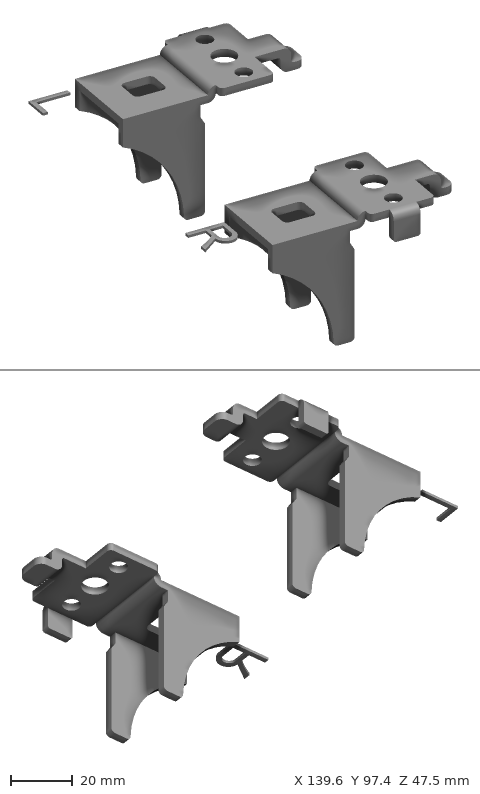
import cadquery as cq
import math


overall_width = 139.6
sheet = 3.0

upper_width = 37.1
hook_side_shoulder_y = 12.1
plain_side_shoulder_y = 8.1
upper_front_y = -hook_side_shoulder_y
upper_corner_radius = 1.5
center_hole_diameter = 9.1
side_hole_diameter = 6.1
side_hole_spacing = 25.1

hook_length = 10.0
hook_drop = 10.9
hook_corner_radius = 1.0

tab_width = 11.3
tab_end_y = 27.0
tab_drop = 6.0
tab_wall_y = 17.7
tab_inner_radius = 1.0
tab_wall = 4.0
tab_end_radius = 3.0

lower_width = 31.0
lower_back_y = upper_front_y - sheet
lower_front_y = -46.9
lower_bottom_z = -2 * sheet
window_width = 10.3
window_length = 12.1
window_center_y = -30.2
window_corner_radius = 2.0

leg_bottom_z = -47.0
leg_back_y = -16.2
leg_neck_y = -17.9
leg_neck_bottom_z = -10.3
leg_shoulder_z = -13.1
leg_front_bottom_z = -13.4
leg_foot_front_y = -24.0
leg_arc_mid_y = -30.7
leg_arc_mid_z = -25.8
leg_corner_radius = 1.5

letter_thickness = 1.0
letter_bottom_y = -70.4
letter_height = 14.5
stem_width = 1.8
letter_l_x = -53.2
letter_l_width = 9.2
foot_height = 1.8
letter_r_x = 48.0
bowl_height = 8.0
bowl_straight = 7.7
bowl_bar = 1.5
counter_straight = 7.1
r_leg_root_left = 5.7
r_leg_root_right = 8.0
r_leg_foot_left = 10.2
letter_r_width = 12.8
r_leg_bend_x = 8.2
r_leg_bend_y = 3.4

bracket_x = overall_width / 2 - upper_width / 2 - sheet
quarter = math.sqrt(0.5)


def box(x_min, x_max, y_min, y_max, z_min, z_max):
    return cq.Workplane().box(
        x_max - x_min, y_max - y_min, z_max - z_min, centered=False
    ).translate((x_min, y_min, z_min))


def extrude_side_profile(profile, x_min, width):
    """Extrude a closed YZ profile along +X from x_min."""
    return profile.close().extrude(width).translate((x_min, 0, 0))


def make_upper_plate():
    half = upper_width / 2
    plate = box(-half, half, upper_front_y, plain_side_shoulder_y, -sheet, 0)
    raised_shoulder = box(0, half, plain_side_shoulder_y, hook_side_shoulder_y, -sheet, 0)
    plate = plate.union(raised_shoulder)
    outer_corners = plate.edges("|Z").edges("<X or >X")
    return outer_corners.fillet(upper_corner_radius)


def make_hook():
    """Tab folded down from the +X edge, rounded over the outside of the fold."""
    inner_x = upper_width / 2
    hook = box(inner_x, inner_x + sheet, -hook_length / 2, hook_length / 2, -hook_drop, 0)
    hook = hook.edges("|X and <Z").fillet(hook_corner_radius)
    fold = (
        cq.Workplane("XZ", origin=(inner_x, hook_length / 2, -sheet))
        .moveTo(0, sheet)
        .threePointArc((sheet * quarter, sheet * quarter), (sheet, 0))
        .lineTo(sheet, sheet)
        .close()
        .extrude(hook_length)
    )
    return hook.cut(fold)


def make_tab():
    """Tab that runs back, steps down through a wall and ends in a rounded tip."""
    wall_back_y = tab_wall_y + tab_wall
    tip_bottom_z = -tab_drop - sheet
    half = tab_width / 2
    run = box(-half, half, 0, wall_back_y, -sheet, 0)
    wall = box(-half, half, tab_wall_y, wall_back_y, tip_bottom_z, 0)
    tip = box(-half, half, tab_wall_y, tab_end_y, tip_bottom_z, -tab_drop)
    tip = tip.edges("|Z and >Y").fillet(tab_end_radius)
    tab = run.union(wall).union(tip)

    def bend_edge(y, z):
        return cq.selectors.NearestToPointSelector((0, y, z))

    tab = tab.edges("|X").edges(bend_edge(wall_back_y, 0)).fillet(sheet)
    tab = tab.edges("|X").edges(bend_edge(tab_wall_y, tip_bottom_z)).fillet(sheet)
    tab = tab.edges("|X").edges(bend_edge(wall_back_y, -tab_drop)).fillet(tab_inner_radius)
    return tab.edges("|X").edges(bend_edge(tab_wall_y, -sheet)).fillet(tab_inner_radius)


def make_step_bend():
    """S-shaped bend: two quarter rounds, one sheet thick, from upper to lower plate."""
    profile = (
        cq.Workplane("YZ")
        .moveTo(upper_front_y, 0)
        .threePointArc(
            (upper_front_y - sheet * quarter, sheet * (quarter - 1)),
            (lower_back_y, -sheet),
        )
        .lineTo(lower_back_y, lower_bottom_z)
        .threePointArc(
            (lower_back_y + sheet * quarter, -sheet * (1 + quarter)),
            (upper_front_y, -sheet),
        )
    )
    return extrude_side_profile(profile, -lower_width / 2, lower_width)


def make_lower_plate():
    half = lower_width / 2
    plate = box(-half, half, lower_front_y, lower_back_y, lower_bottom_z, -sheet)
    window = (
        cq.Workplane(origin=(0, window_center_y, lower_bottom_z))
        .rect(window_width, window_length)
        .extrude(sheet)
        .edges("|Z")
        .fillet(window_corner_radius)
    )
    return plate.cut(window)


def make_leg(x_min):
    """Leg with a hollow arc along its front edge and a narrowed neck at the back."""
    profile = (
        cq.Workplane("YZ")
        .moveTo(leg_neck_y, lower_bottom_z)
        .lineTo(leg_neck_y, leg_neck_bottom_z)
        .lineTo(leg_back_y, leg_shoulder_z)
        .lineTo(leg_back_y, leg_bottom_z)
        .lineTo(leg_foot_front_y, leg_bottom_z)
        .threePointArc((leg_arc_mid_y, leg_arc_mid_z), (lower_front_y, leg_front_bottom_z))
        .lineTo(lower_front_y, lower_bottom_z)
    )
    leg = extrude_side_profile(profile, x_min, sheet)
    return leg.edges("|X and <Z").fillet(leg_corner_radius)


def make_bracket():
    """Bracket centred on X = 0 with its hook on the +X side."""
    bracket = make_upper_plate()
    bracket = bracket.union(make_hook())
    bracket = bracket.union(make_tab())
    bracket = bracket.union(make_step_bend())
    bracket = bracket.union(make_lower_plate())
    for leg_x in (-lower_width / 2, lower_width / 2 - sheet):
        bracket = bracket.union(make_leg(leg_x))
    center_hole = cq.Workplane().circle(center_hole_diameter / 2).extrude(-sheet)
    side_holes = (
        cq.Workplane()
        .rarray(side_hole_spacing, 1.4, 2, 1)
        .circle(side_hole_diameter / 2)
        .extrude(-sheet)
    )
    return bracket.cut(center_hole).cut(side_holes)


def letter_plane(left_x):
    """Plane at the lower left corner of a letter; letters are centred on Z = 0."""
    return cq.Workplane(origin=(left_x, letter_bottom_y, -letter_thickness / 2))


def make_letter_l():
    return (
        letter_plane(letter_l_x)
        .lineTo(letter_l_width, 0)
        .lineTo(letter_l_width, foot_height)
        .lineTo(stem_width, foot_height)
        .lineTo(stem_width, letter_height)
        .lineTo(0, letter_height)
        .close()
        .extrude(letter_thickness)
    )


def make_letter_r():
    bowl_bottom = letter_height - bowl_height
    bowl_mid = letter_height - bowl_height / 2
    bowl_radius = bowl_height / 2
    counter_radius = bowl_radius - bowl_bar
    stem = letter_plane(letter_r_x).rect(stem_width, letter_height, centered=False).extrude(letter_thickness)
    bowl = (
        letter_plane(letter_r_x)
        .moveTo(0, bowl_bottom)
        .lineTo(bowl_straight, bowl_bottom)
        .threePointArc((bowl_straight + bowl_radius, bowl_mid), (bowl_straight, letter_height))
        .lineTo(0, letter_height)
        .close()
        .extrude(letter_thickness)
    )
    counter = (
        letter_plane(letter_r_x)
        .moveTo(stem_width, bowl_mid - counter_radius)
        .lineTo(counter_straight, bowl_mid - counter_radius)
        .threePointArc(
            (counter_straight + counter_radius, bowl_mid),
            (counter_straight, bowl_mid + counter_radius),
        )
        .lineTo(stem_width, bowl_mid + counter_radius)
        .close()
        .extrude(letter_thickness)
    )
    leg = (
        letter_plane(letter_r_x)
        .moveTo(r_leg_root_left, bowl_bottom)
        .threePointArc((r_leg_bend_x, r_leg_bend_y), (r_leg_foot_left, 0))
        .lineTo(letter_r_width, 0)
        .lineTo(r_leg_root_right, bowl_bottom)
        .close()
        .extrude(letter_thickness)
    )
    return stem.union(bowl).cut(counter).union(leg)


bracket = make_bracket()
right_bracket = bracket.translate((bracket_x, 0, 0))
left_bracket = bracket.mirror("YZ").translate((-bracket_x, 0, 0))
letter_l = make_letter_l()
letter_r = make_letter_r()

result = cq.Compound.makeCompound(
    [left_bracket.val(), right_bracket.val(), letter_l.val(), letter_r.val()]
)